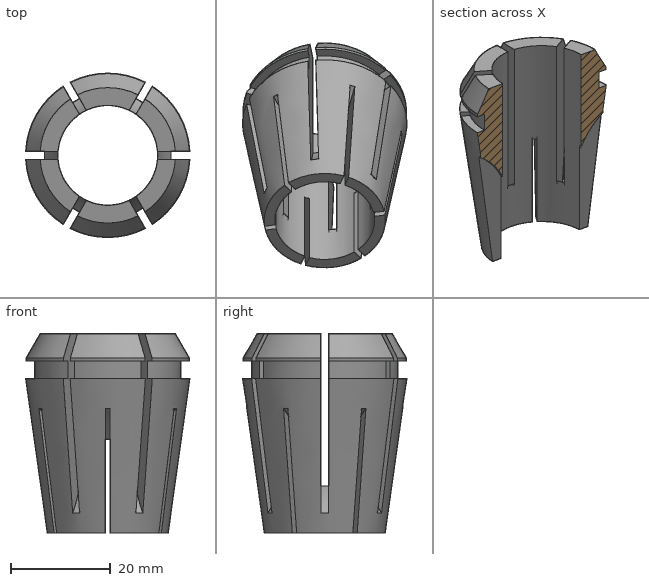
import cadquery as cq
import math

height = 40.0
bore_radius = 10.0
body_diameter = 33.0
body_radius = body_diameter / 2
taper_angle = 8.0
taper_top = 30.95

groove_radius = 14.7
rim_radius = 16.4
rim_bottom = 34.5
rim_top = 35.1
nose_angle = 30.0

slots_per_end = 6
slot_pitch = 360.0 / slots_per_end
saw_radius = 16.0
top_slot_width = 1.6
top_slot_outer_z = 4.0
top_slot_inner_z = 9.5
bottom_slot_width = 1.0
bottom_slot_outer_z = 24.95
bottom_slot_inner_z = 18.8
clearance = 2.0

bottom_radius = body_radius - taper_top * math.tan(math.radians(taper_angle))
nose_radius = rim_radius - (height - rim_top) * math.tan(math.radians(nose_angle))


def taper_radius(z):
    """Outside radius of the tapered body at height z."""
    return bottom_radius + z * math.tan(math.radians(taper_angle))


def collet_blank():
    """Revolved collet before slotting."""
    return (
        cq.Workplane("XZ")
        .moveTo(bore_radius, 0)
        .lineTo(bottom_radius, 0)
        .lineTo(body_radius, taper_top)
        .lineTo(groove_radius, taper_top)
        .lineTo(groove_radius, rim_bottom)
        .lineTo(rim_radius, rim_bottom)
        .lineTo(rim_radius, rim_top)
        .lineTo(nose_radius, height)
        .lineTo(bore_radius, height)
        .close()
        .revolve(360, (0, 0, 0), (0, 1, 0))
    )


def saw_arc_middle(inner_z, outer_z):
    """Midpoint of the saw arc, bowed inward from the chord between its ends."""
    outer_r = taper_radius(outer_z)
    run = outer_r - bore_radius
    rise = inner_z - outer_z
    chord = math.hypot(run, rise)
    bow = saw_radius - math.sqrt(saw_radius**2 - (chord / 2) ** 2)
    r = (bore_radius + outer_r) / 2 - bow * abs(rise) / chord
    z = (inner_z + outer_z) / 2 - bow * run / chord * math.copysign(1, rise)
    return r, z


def slot_cutter(width, inner_z, outer_z, open_z, angle):
    """Radial slot from its curved end to open_z, just beyond one end face."""
    inside = bore_radius - clearance
    outside = body_radius + clearance
    return (
        cq.Workplane("XZ")
        .moveTo(inside, open_z)
        .lineTo(inside, inner_z)
        .lineTo(bore_radius, inner_z)
        .threePointArc(saw_arc_middle(inner_z, outer_z), (taper_radius(outer_z), outer_z))
        .lineTo(outside, outer_z)
        .lineTo(outside, open_z)
        .close()
        .extrude(width / 2, both=True)
        .rotate((0, 0, 0), (0, 0, 1), angle)
    )


result = collet_blank()
for index in range(slots_per_end):
    top_angle = index * slot_pitch
    bottom_angle = top_angle + slot_pitch / 2
    result = result.cut(
        slot_cutter(top_slot_width, top_slot_inner_z, top_slot_outer_z, height + clearance, top_angle)
    )
    result = result.cut(
        slot_cutter(bottom_slot_width, bottom_slot_inner_z, bottom_slot_outer_z, -clearance, bottom_angle)
    )